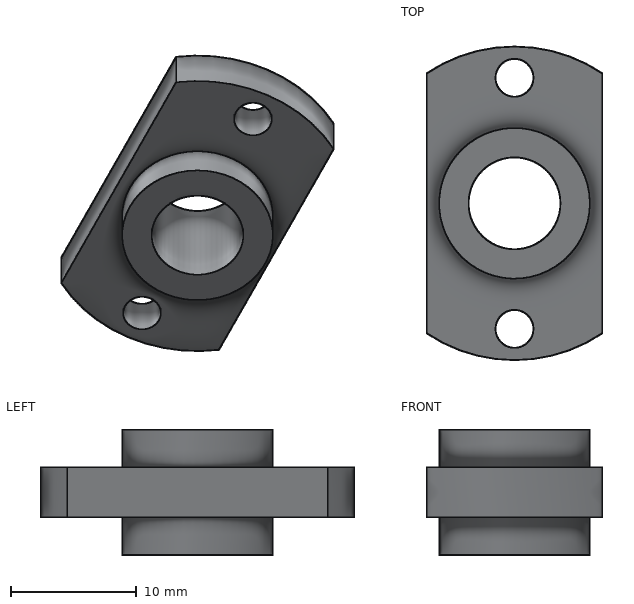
import cadquery as cq

flange_diameter = 25.0
flange_width = 14.0
flange_thickness = 4.0

hub_diameter = 12.0
hub_projection = 3.0
hub_length = flange_thickness + 2 * hub_projection
bore_diameter = 7.3

mount_hole_diameter = 3.0
mount_hole_spacing = 20.0


def centered_cylinder(diameter, length):
    """Z cylinder on the origin, symmetric about the XY plane."""
    return cq.Workplane("XY").circle(diameter / 2).extrude(length / 2, both=True)


def make_flange():
    disc = centered_cylinder(flange_diameter, flange_thickness)
    flats = cq.Workplane("XY").box(flange_width, flange_diameter, flange_thickness)
    return disc.intersect(flats)


def make_mount_holes():
    hole = centered_cylinder(mount_hole_diameter, flange_thickness)
    offset = mount_hole_spacing / 2
    return hole.translate((0, offset, 0)).union(hole.translate((0, -offset, 0)))


hub = centered_cylinder(hub_diameter, hub_length)
bore = centered_cylinder(bore_diameter, hub_length)

result = make_flange().union(hub).cut(bore).cut(make_mount_holes())